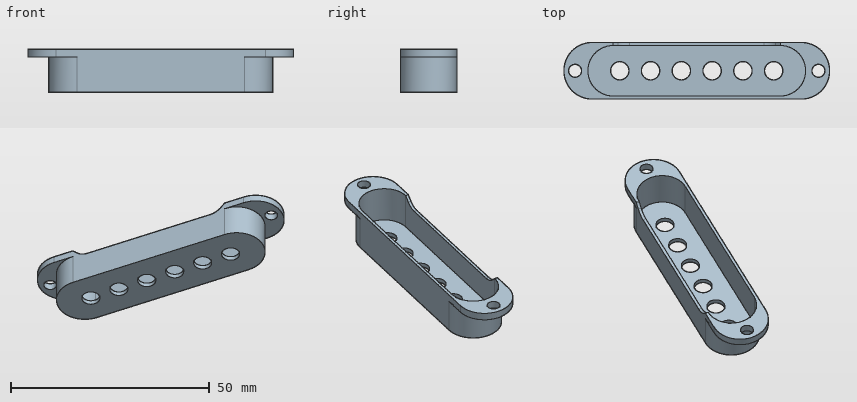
import cadquery as cq
import math

flange_length = 66.88
width = 14.31
height = 10.88
flange_thickness = 2.0
body_length = 56.36
wall = 0.8
floor_thickness = 1.2

pole_hole_count = 6
pole_hole_pitch = 7.74
pole_hole_diameter = 4.55

screw_hole_count = 2
screw_hole_spacing = 61.2
screw_hole_diameter = 3.2

notch_slope_angle = math.radians(45)
notch_slope_run = 1.23
notch_blend_radius = 4.0

cavity_length = body_length - 2 * wall
cavity_width = width - 2 * wall
notch_top_half = (body_length - width) / 2
notch_slope_end = notch_top_half - notch_slope_run
notch_flat_half = notch_slope_end - notch_blend_radius * math.sin(notch_slope_angle)
notch_slope_end_z = height - notch_slope_run * math.tan(notch_slope_angle)
notch_bottom_z = notch_slope_end_z - notch_blend_radius * (1 - math.cos(notch_slope_angle))


def rounded_bar(length, bar_width, bottom_z, top_z):
    """Upright bar along X with full-round ends."""
    return (
        cq.Workplane("XY")
        .workplane(offset=bottom_z)
        .slot2D(length, bar_width)
        .extrude(top_z - bottom_z)
    )


def row_of_cylinders(count, pitch, diameter):
    """Full-height cylinders spaced along X, used to cut through holes."""
    return (
        cq.Workplane("XY")
        .rarray(pitch, 1, count, 1)
        .circle(diameter / 2)
        .extrude(height)
    )


def blend_midpoint():
    """Point halfway along the +X blend arc of the notch, as (x, z)."""
    half_angle = notch_slope_angle / 2
    x = notch_flat_half + notch_blend_radius * math.sin(half_angle)
    z = notch_bottom_z + notch_blend_radius * (1 - math.cos(half_angle))
    return x, z


def wall_notch():
    """Cutter that lowers the +Y wall between the two flange ends."""
    mid_x, mid_z = blend_midpoint()
    return (
        cq.Workplane("XZ")
        .moveTo(-notch_top_half, height)
        .lineTo(-notch_slope_end, notch_slope_end_z)
        .threePointArc((-mid_x, mid_z), (-notch_flat_half, notch_bottom_z))
        .lineTo(notch_flat_half, notch_bottom_z)
        .threePointArc((mid_x, mid_z), (notch_slope_end, notch_slope_end_z))
        .lineTo(notch_top_half, height)
        .close()
        .extrude(-width)
    )


body = rounded_bar(body_length, width, 0, height)
flange = rounded_bar(flange_length, width, height - flange_thickness, height)
cavity = rounded_bar(cavity_length, cavity_width, floor_thickness, height)
pole_holes = row_of_cylinders(pole_hole_count, pole_hole_pitch, pole_hole_diameter)
screw_holes = row_of_cylinders(screw_hole_count, screw_hole_spacing, screw_hole_diameter)

result = (
    body.union(flange)
    .cut(cavity)
    .cut(pole_holes)
    .cut(screw_holes)
    .cut(wall_notch())
)